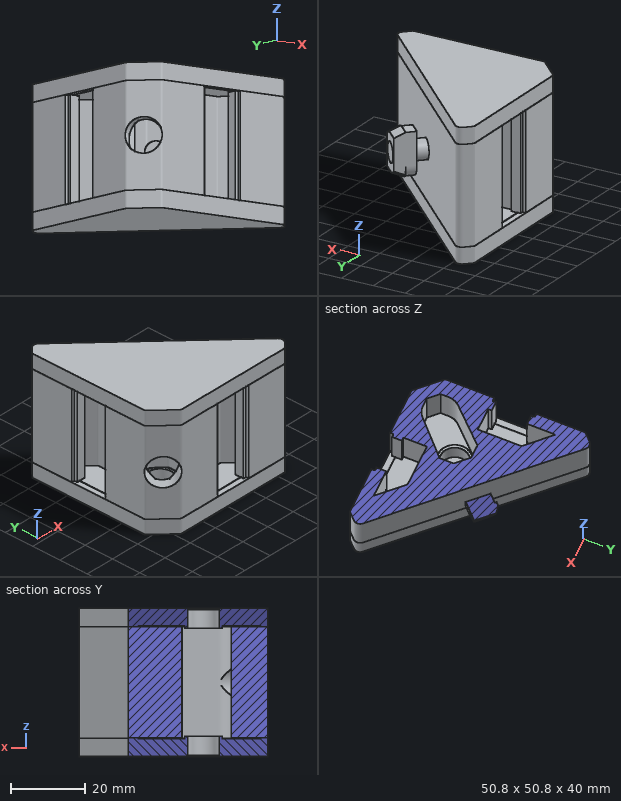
import cadquery as cq
import math

height = 40.0
cap_thickness = 5.0
housing_height = height - 2 * cap_thickness
mid_z = height / 2

hypotenuse_sum = 55.05
corner_chamfer = 6.9
end_chamfer_y = 48.15
end_tip_y = (hypotenuse_sum + end_chamfer_y) / 2
end_tip_x = hypotenuse_sum - end_tip_y
face_edge_radius = 1.0
tip_radius = 1.9

slot_center = hypotenuse_sum / 2
slot_step_width = 12.3
slot_step_depth = 1.0
slot_neck_width = 10.25
slot_lip = 4.0
slot_cavity_start = 21.35
slot_cavity_depth = 10.8
slot_cavity_far_sum = 44.9
slot_cavity_radius = 0.6

pocket_wall = 4.9
pocket_near_sum = 12.55
pocket_shoulder_y = 12.0
pocket_shoulder_radius = 4.85
pocket_far_y = 23.1
pocket_far_x = 15.5
pocket_far_sum = 42.7
pocket_far_radius = 1.0

access_bore_diameter = 10.0
screw_diameter = 6.0
nut_gap = 3.6
nut_straight = 3.1
nut_taper = 3.3
nut_width = 7.8
nut_length = 14.0
nut_tip_length = 11.2
nut_tip_drop = 1.5

cap_rim = 2.05
cap_recess_depth = 0.1
cap_hole_radius = 4.2
cap_hole_center = 17.35
cap_floor = 0.4
collar_radius = 5.1
collar_rise = 0.5

pocket_near = pocket_near_sum / math.sqrt(2)
pocket_far = pocket_far_sum / math.sqrt(2)
hypotenuse = hypotenuse_sum / math.sqrt(2)
pocket_middle = (pocket_near + pocket_far) / 2
nut_start = hypotenuse + nut_gap
nut_shoulder = nut_start + nut_straight
nut_end = nut_shoulder + nut_taper


def mirrored(half_outline):
    """Complete an outline by reflecting half of it about the line X = Y."""
    return half_outline + [(y, x) for x, y in reversed(half_outline)]


def prism(outline, z_bottom, thickness):
    return cq.Workplane("XY", origin=(0, 0, z_bottom)).polyline(outline).close().extrude(thickness)


def round_upright_edges(body, corners, radius):
    """Fillet the vertical edges that stand at the given XY corners."""
    middle_z = body.val().Center().z
    for x, y in corners:
        body = body.edges(cq.selectors.NearestToPointSelector((x, y, middle_z))).fillet(radius)
    return body


def diagonal_plane(distance):
    """Plane square to the diagonal axis; its local Y axis is world Z."""
    offset = distance / math.sqrt(2)
    return cq.Plane(origin=(offset, offset, mid_z), xDir=(-1, 1, 0), normal=(1, 1, 0))


def diagonal_cylinder(diameter, start, end):
    return cq.Workplane(diagonal_plane(start)).circle(diameter / 2).extrude(end - start)


def footprint_block(z_bottom, thickness):
    """Triangular block with its corner and two ends cut off and rounded."""
    face_edges = [(0, corner_chamfer), (0, end_chamfer_y)]
    tip = [(end_tip_x, end_tip_y)]
    block = prism(mirrored(face_edges + tip), z_bottom, thickness)
    block = round_upright_edges(block, mirrored(face_edges), face_edge_radius)
    return round_upright_edges(block, mirrored(tip), tip_radius)


def slot_cutter():
    """T-slot entering from the X = 0 face, with a stepped mouth."""
    step = cq.Workplane("XY").box(2 * slot_step_depth, slot_step_width, housing_height)
    neck = cq.Workplane("XY").box(2 * slot_lip, slot_neck_width, housing_height)
    mouth = step.union(neck).translate((0, slot_center, mid_z))
    bend = (slot_cavity_depth, slot_cavity_far_sum - slot_cavity_depth)
    cavity_outline = [
        (slot_lip, slot_cavity_start),
        (slot_cavity_depth, slot_cavity_start),
        bend,
        (slot_lip, slot_cavity_far_sum - slot_lip),
    ]
    cavity = prism(cavity_outline, cap_thickness, housing_height)
    cavity = round_upright_edges(cavity, [bend], slot_cavity_radius)
    return mouth.union(cavity)


def pocket_cutter():
    """Pocket widening along the diagonal, opening through both ends of the housing."""
    shoulder = (pocket_wall, pocket_shoulder_y)
    far_bend = (pocket_far_sum - pocket_far_y, pocket_far_y)
    half_outline = [
        (pocket_wall, pocket_near_sum - pocket_wall),
        shoulder,
        (pocket_far_x, pocket_far_y),
        far_bend,
    ]
    pocket = prism(mirrored(half_outline), cap_thickness, housing_height)
    pocket = round_upright_edges(pocket, mirrored([shoulder]), pocket_shoulder_radius)
    return round_upright_edges(pocket, mirrored([far_bend]), pocket_far_radius)


def build_housing():
    slot = slot_cutter()
    slot_reflected = slot.rotate((0, 0, mid_z), (0.5, 0.5, mid_z), 180)
    return (
        footprint_block(cap_thickness, housing_height)
        .cut(slot)
        .cut(slot_reflected)
        .cut(pocket_cutter())
        .cut(diagonal_cylinder(access_bore_diameter, 0, pocket_middle))
        .cut(diagonal_cylinder(screw_diameter, pocket_middle, nut_start))
    )


def build_bottom_cap():
    """End cap with a shallow rimmed recess and a collared blind hole in its inner face."""
    cap = footprint_block(0, cap_thickness)
    recess = (
        cap.faces(">Z").wires().toPending().offset2D(-cap_rim)
        .extrude(-cap_recess_depth, combine=False)
    )
    hole_floor = cq.Workplane("XY", origin=(cap_hole_center, cap_hole_center, cap_floor))
    collar_height = cap_thickness + collar_rise - cap_floor
    collar = hole_floor.circle(collar_radius).extrude(collar_height)
    hole = hole_floor.circle(cap_hole_radius).extrude(collar_height)
    return cap.cut(recess).union(collar).cut(hole)


def build_screw():
    """Plain shank from the pocket wall to the far end of the nut."""
    return diagonal_cylinder(screw_diameter, pocket_far, nut_end)


def nut_section(workplane, length, drop):
    """Rectangle standing along Z whose two opposite corners each fall away in an arc by `drop`."""
    half_width = nut_width / 2
    half_length = length / 2
    radius = (half_width**2 + drop**2) / (2 * drop)
    return (
        workplane.moveTo(half_width, half_length)
        .lineTo(0, half_length)
        .radiusArc((-half_width, half_length - drop), -radius)
        .lineTo(-half_width, -half_length)
        .lineTo(0, -half_length)
        .radiusArc((half_width, drop - half_length), -radius)
        .close()
    )


def build_nut():
    """Hammer nut with fully rounded corners and a flatter part that tapers along Z, bored for the screw."""
    start_plane = cq.Workplane(diagonal_plane(nut_start))
    shoulder_plane = cq.Workplane(diagonal_plane(nut_shoulder))
    straight = nut_section(start_plane, nut_length, nut_width / 2).extrude(nut_straight)
    shoulder = nut_section(shoulder_plane, nut_length, nut_tip_drop)
    tip = nut_section(shoulder.workplane(offset=nut_taper), nut_tip_length, nut_tip_drop)
    bore = diagonal_cylinder(screw_diameter, nut_start, nut_end)
    return straight.union(tip.loft(ruled=True)).cut(bore)


housing = build_housing().solids()
bottom_cap = build_bottom_cap().solids()
top_cap = bottom_cap.rotate((0, 0, mid_z), (0.5, 0.5, mid_z), 180)
screw = build_screw()
nut = build_nut().solids()

result = cq.Compound.makeCompound(
    [housing.val(), bottom_cap.val(), top_cap.val(), screw.val(), nut.val()]
)